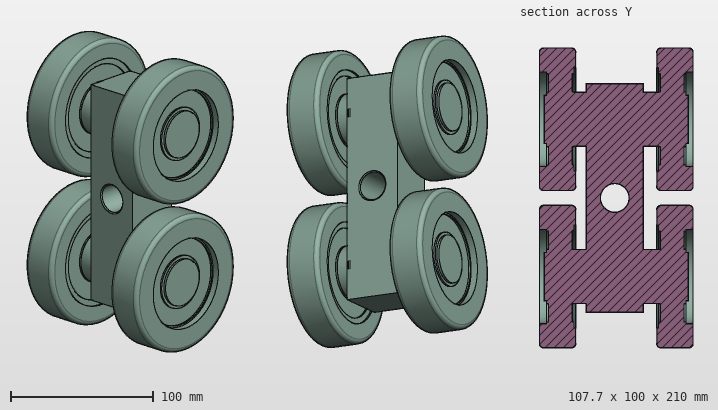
import cadquery as cq
overall_width = 107.7
overall_height = 210
wheel_diameter = 100.0
wheel_width = 25.6
wheel_edge_radius = 3.1
wheel_center_x = (overall_width - wheel_width) / 2
axle_center_z = (overall_height - wheel_diameter) / 2

block_width = 40.0
block_thickness = 39.7
block_height = 160.0
block_center_x = 1.0
cross_hole_diameter = 20.0
cross_hole_chamfer = 0.8

outer_recess_diameter = 66.0
outer_recess_depth = 5.0
inner_recess_diameter = 72.0
inner_recess_depth = 1.3
bearing_groove_diameter = 63.6
bearing_groove_depth = 1.3
bearing_bore_ring_diameter = 38.5

axle_diameter = 38.0
axle_tip_diameter = 34.0
axle_tip_height = 1.7
axle_tip_end_x = overall_width / 2 - outer_recess_depth + axle_tip_height

retaining_ring_diameter = 40.0
retaining_ring_width = 1.5
retaining_ring_inset = 0.8


def disc(diameter, start_x, end_x):
    """Solid cylinder along X from start_x to end_x."""
    start = cq.Workplane("YZ").workplane(offset=start_x)
    return start.circle(diameter / 2).extrude(end_x - start_x)


def make_wheel():
    """Rounded wheel with its inner face at X = 0 and its outer face at +X."""
    wheel = disc(wheel_diameter, 0, wheel_width).edges().fillet(wheel_edge_radius)
    inner_face = inner_recess_depth
    outer_face = wheel_width - outer_recess_depth
    wheel = wheel.cut(disc(inner_recess_diameter, 0, inner_face))
    wheel = wheel.cut(disc(outer_recess_diameter, outer_face, wheel_width))
    wheel = wheel.cut(disc(bearing_groove_diameter, inner_face, inner_face + bearing_groove_depth))
    wheel = wheel.cut(disc(bearing_groove_diameter, outer_face - bearing_groove_depth, outer_face))
    return wheel.union(disc(bearing_bore_ring_diameter, inner_face, outer_face))


def make_wheel_set():
    """Axle with a wheel at each end, slimmer tips and a retaining ring."""
    axle = disc(axle_diameter, -wheel_center_x, wheel_center_x)
    axle = axle.union(disc(axle_tip_diameter, -axle_tip_end_x, axle_tip_end_x))
    ring_end_x = block_center_x + block_width / 2 - retaining_ring_inset
    axle = axle.union(disc(retaining_ring_diameter, ring_end_x - retaining_ring_width, ring_end_x))
    right_wheel = make_wheel().translate((overall_width / 2 - wheel_width, 0, 0))
    left_wheel = right_wheel.mirror("YZ")
    return axle.union(right_wheel).union(left_wheel)


def make_block():
    """Upright block with a chamfered hole through it along Y."""
    block = cq.Workplane("XY").box(block_width, block_thickness, block_height)
    block = block.faces("<Y").workplane().hole(cross_hole_diameter)
    block = block.edges("%CIRCLE").chamfer(cross_hole_chamfer)
    return block.translate((block_center_x, 0, 0))


result = make_block()
for level in (-1, 1):
    result = result.union(make_wheel_set().translate((0, 0, level * axle_center_z)))